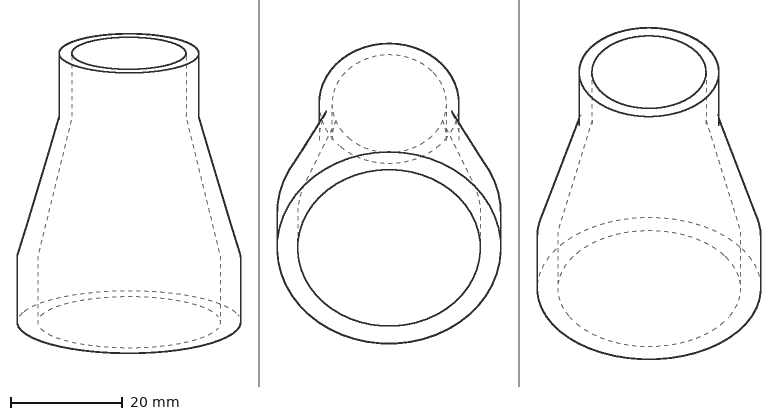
import cadquery as cq

total_height = 50.0
spigot_length = 12.0
wide_diameter = 40.0
narrow_diameter = 25.0

narrow_wall = 2.3
wide_wall = narrow_wall * wide_diameter / narrow_diameter

cone_top = total_height - spigot_length


def stepped_cone(bottom_radius, top_radius):
    """Solid of revolution about Z: cylinder, cone, then smaller cylinder."""
    return (
        cq.Workplane("XZ")
        .moveTo(0, 0)
        .lineTo(bottom_radius, 0)
        .lineTo(bottom_radius, spigot_length)
        .lineTo(top_radius, cone_top)
        .lineTo(top_radius, total_height)
        .lineTo(0, total_height)
        .close()
        .revolve(360, (0, 0, 0), (0, 1, 0))
    )


outer_body = stepped_cone(wide_diameter / 2, narrow_diameter / 2)
bore = stepped_cone(wide_diameter / 2 - wide_wall, narrow_diameter / 2 - narrow_wall)

result = outer_body.cut(bore)